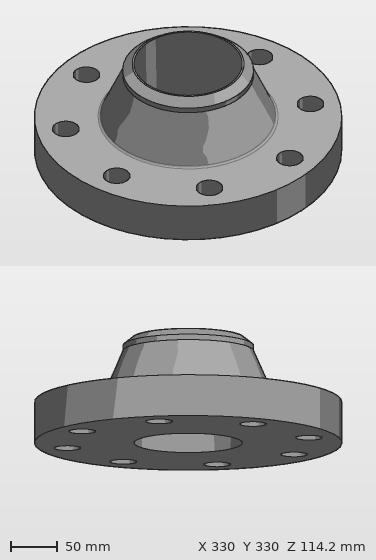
import cadquery as cq

flange_diameter = 330.0
flange_thickness = 44.5

bolt_hole_count = 8
bolt_hole_diameter = 28.5
bolt_circle_diameter = 266.7

overall_height = 114.2
neck_diameter = 140.5
root_face_diameter = 120.0
bevel_height = 8.3
land_height = 6.0
cone_base_diameter = 189.5
foot_fillet = 3.0

bore_diameter = 116.2

bevel_start = overall_height - bevel_height
land_start = bevel_start - land_height


def revolved_body():
    """Plate and tapered neck as one solid of revolution about Z."""
    flange_radius = flange_diameter / 2
    neck_radius = neck_diameter / 2
    return (
        cq.Workplane("XZ")
        .moveTo(0, 0)
        .lineTo(flange_radius, 0)
        .lineTo(flange_radius, flange_thickness)
        .lineTo(cone_base_diameter / 2, flange_thickness)
        .lineTo(neck_radius, land_start)
        .lineTo(neck_radius, bevel_start)
        .lineTo(root_face_diameter / 2, overall_height)
        .lineTo(0, overall_height)
        .close()
        .revolve(360, (0, 0, 0), (0, 1, 0))
    )


def fillet_neck_foot(body):
    """Round the corner between the cone and the top of the plate."""
    foot_edge = body.edges(cq.selectors.RadiusNthSelector(-2))
    return foot_edge.fillet(foot_fillet)


def cut_bore(body):
    return body.faces(">Z").workplane(origin=(0, 0, 0)).hole(bore_diameter)


def cut_bolt_holes(body):
    """Evenly spaced holes, the first one on the +X axis."""
    return (
        body.faces("<Z")
        .workplane(origin=(0, 0, 0))
        .polarArray(bolt_circle_diameter / 2, 0, 360, bolt_hole_count)
        .hole(bolt_hole_diameter, flange_thickness)
    )


result = cut_bolt_holes(cut_bore(fillet_neck_foot(revolved_body())))